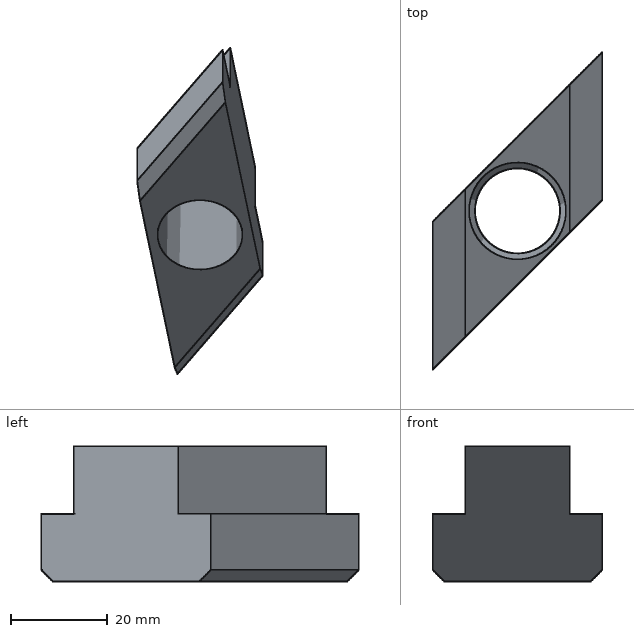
import cadquery as cq

base_width = 35.0
overall_length = 65.55
overall_height = 28.0
base_height = overall_height / 2
neck_width = 21.6
bottom_chamfer = 2.4

hole_diameter = 17.5
countersink_diameter = 20.0
countersink_angle = 120

side_length = overall_length - base_width


def skewed_block(width, height):
    """Block on Z = 0 with sides along Y and end faces at 45 degrees."""
    half_width = width / 2
    half_side = side_length / 2
    corners = [
        (-half_width, -half_width - half_side),
        (half_width, half_width - half_side),
        (half_width, half_width + half_side),
        (-half_width, -half_width + half_side),
    ]
    return cq.Workplane("XY").polyline(corners).close().extrude(height)


def chamfered_base():
    """Wide foot with its two long bottom edges bevelled."""
    half_width = base_width / 2
    profile = (
        cq.Workplane("XZ")
        .moveTo(-half_width + bottom_chamfer, 0)
        .lineTo(half_width - bottom_chamfer, 0)
        .lineTo(half_width, bottom_chamfer)
        .lineTo(half_width, base_height)
        .lineTo(-half_width, base_height)
        .lineTo(-half_width, bottom_chamfer)
        .close()
        .extrude(overall_length / 2, both=True)
    )
    return skewed_block(base_width, base_height).intersect(profile)


neck = skewed_block(neck_width, overall_height)
body = chamfered_base().union(neck)

result = (
    body.faces(">Z")
    .workplane(origin=(0, 0, overall_height))
    .cskHole(hole_diameter, countersink_diameter, countersink_angle)
)